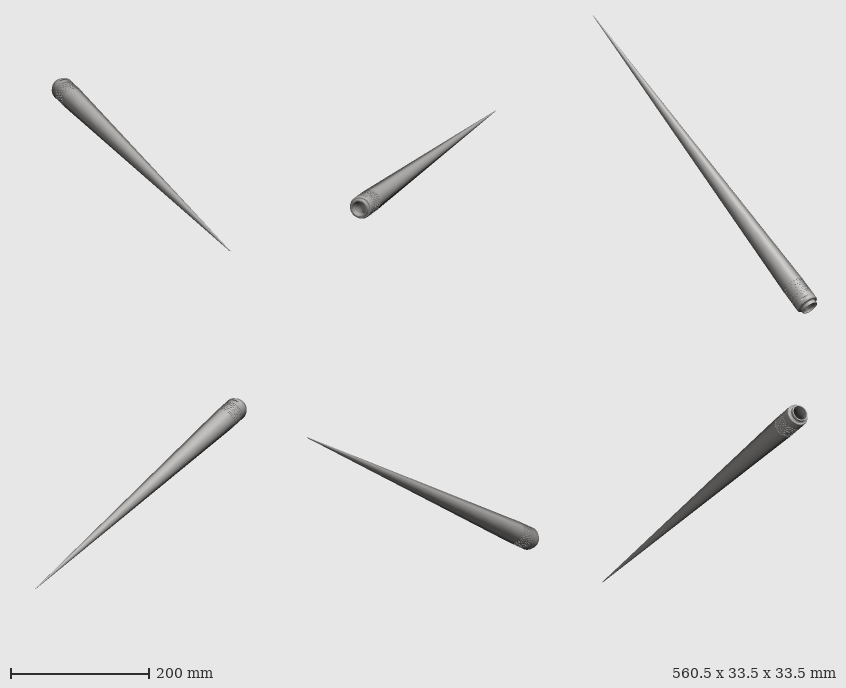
import cadquery as cq
import math


LENGTH = 560.5
BODY_RADIUS = 33.5 / 2
TIP_RADIUS = 0.5

BORE_RADIUS = 22.0 / 2
TIP_WALL = 11.0

SPIGOT_RADIUS = 25.0 / 2
SPIGOT_LENGTH = 4.5

SHOULDER_X = 5.5
SHOULDER_CONE_RADIUS = 14.0
SHOULDER_FACE_RADIUS = 15.0
STEEP_CHAMFER_END = 6.0
STEEP_CHAMFER_RADIUS = 16.0
COLLAR_X = 8.0

NOTCH_X = 11.0
NOTCH_WIDTH = 2.0
NOTCH_LENGTH = 17.0
NOTCH_DEPTH = 1.5

GRIP_START = 19.0
GRIP_END = 43.0
KNURL_DEPTH = 0.5
KNURL_ROWS = 6
KNURL_COUNT = 24
KNURL_FILL = 0.9
KNURL_OVERLAP = 0.5


def hollow_body():
    """Revolved wall with a recessed band where the knurl stands."""
    groove_radius = BODY_RADIUS - KNURL_DEPTH
    profile = [
        (0, BORE_RADIUS),
        (0, SPIGOT_RADIUS),
        (SPIGOT_LENGTH, SPIGOT_RADIUS),
        (SHOULDER_X, SHOULDER_CONE_RADIUS),
        (SHOULDER_X, SHOULDER_FACE_RADIUS),
        (STEEP_CHAMFER_END, STEEP_CHAMFER_RADIUS),
        (COLLAR_X, BODY_RADIUS),
        (GRIP_START, BODY_RADIUS),
        (GRIP_START, groove_radius),
        (GRIP_END, groove_radius),
        (GRIP_END, BODY_RADIUS),
        (LENGTH, TIP_RADIUS),
        (LENGTH, 0),
        (LENGTH - TIP_WALL, 0),
    ]
    return cq.Workplane("XY").polyline(profile).close().revolve(360, (0, 0, 0), (1, 0, 0))


def marker_notch():
    """Straight cutter across the +Z side of the collar."""
    floor = BODY_RADIUS - NOTCH_DEPTH
    middle = NOTCH_X + NOTCH_WIDTH / 2
    return cq.Workplane("XY", origin=(middle, 0, floor)).rect(NOTCH_WIDTH, NOTCH_LENGTH).extrude(BODY_RADIUS)


def knurl_pads():
    """Staggered rows of raised diamonds, rounded to the body radius and sunk slightly into the band."""
    row_pitch = (GRIP_END - GRIP_START) / KNURL_ROWS
    angle_pitch = 360 / KNURL_COUNT
    half_long = row_pitch * KNURL_FILL / 2
    half_wide = math.pi * BODY_RADIUS / KNURL_COUNT * KNURL_FILL
    inner_radius = BODY_RADIUS - KNURL_DEPTH - KNURL_OVERLAP
    prism_base = inner_radius - KNURL_OVERLAP

    diamond = [(-half_long, 0), (0, half_wide), (half_long, 0), (0, -half_wide)]
    sleeve = (
        cq.Workplane("YZ", origin=(GRIP_START, 0, 0))
        .circle(BODY_RADIUS)
        .circle(inner_radius)
        .extrude(GRIP_END - GRIP_START)
    )
    prism = cq.Workplane("XY", origin=(0, 0, prism_base)).polyline(diamond).close().extrude(BODY_RADIUS)

    prisms = []
    for row in range(KNURL_ROWS):
        row_x = GRIP_START + (row + 0.5) * row_pitch
        stagger = angle_pitch / 2 * (row % 2)
        for step in range(KNURL_COUNT):
            angle = step * angle_pitch + stagger
            placed = prism.translate((row_x, 0, 0)).rotate((0, 0, 0), (1, 0, 0), angle)
            prisms.append(placed.val())
    return sleeve.intersect(cq.Workplane(cq.Compound.makeCompound(prisms)))


result = hollow_body().cut(marker_notch()).union(knurl_pads())